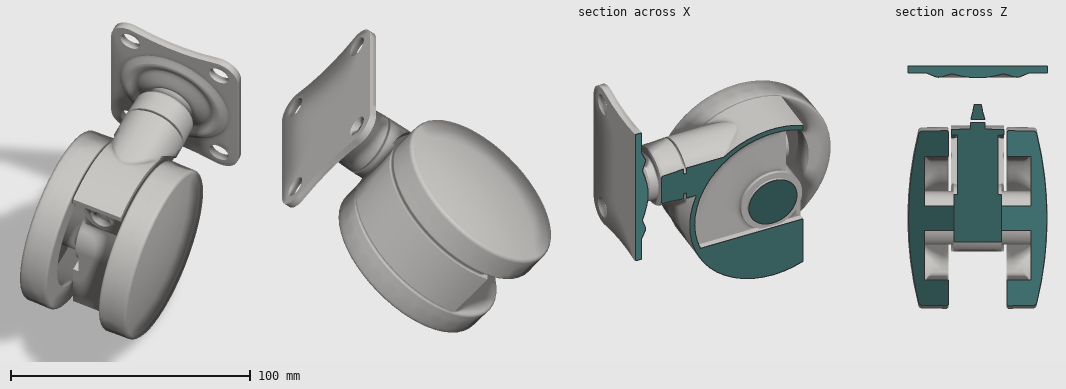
import cadquery as cq
import math


quarter_arc_middle = math.sqrt(0.5)

overall_length = 101.5
overall_width = 58.5
stem_z = 23.0
side_clearance = 1.0

wheel_radius = 38.0
tread_outer_radius = 37.8
wheel_inner_x = 12.0
tread_outer_x = 23.0
inner_edge_round = 1.2
dome_rim_radius = 36.1
dome_rim_x = 24.8
hub_radius = 11.2
recess_radius = 27.4
recess_depth = 10.1

fender_radius = 38.5
fender_inner_radius = 35.9
fender_half_width = wheel_inner_x - side_clearance
front_cut = 14.0
barrel_radius = front_cut
barrel_half_width = 10.0
web_half_width = 8.5
seat_y = -7.3
shelf_z = -13.3
wheel_clearance_radius = 40.0

sleeve_radius = 13.6
sleeve_top_radius = 13.2
sleeve_top_y = 51.6
sleeve_edge_height = 0.9
sleeve_edge_inset = 0.4
groove_radius = 12.2
groove_y = 40.0
groove_width = 1.1

plate_height = 70.0
plate_thickness = 3.1
plate_back_y = overall_length - wheel_radius
plate_front_y = plate_back_y - plate_thickness
corner_radius = 8.5
edge_sag = 2.4
hole_diameter = 9.0
hole_spacing_x = 41.0
hole_spacing_z = 54.0

ring_height = 1.6
ring_crest = 0.15
ring_base_radius = 25.1
ring_top_radius = 21.9
ring_inner_radius = 20.1
valley_outer_radius = 17.5
valley_height = 0.5
cone_base_radius = 16.6
cone_height = 3.6
cone_top_radius = 9.7

neck_radius = 10.1
neck_end_radius = 9.2
neck_chamfer = 0.8
shank_radius = 5.6
head_radius = web_half_width
head_thickness = 1.3
lip_round = 1.3
socket_radius = 2.9
socket_wall_depth = 1.0
socket_depth = 3.0
socket_floor_radius = 0.7


def cylinder_x(radius, half_width):
    """Cylinder on the axle, centred on X = 0."""
    return cq.Workplane("YZ").circle(radius).extrude(half_width, both=True)


def block(x_limits, y_limits, z_limits):
    """Box between the given limits along X, Y and Z."""
    limits = (x_limits, y_limits, z_limits)
    size = [high - low for low, high in limits]
    corner = cq.Vector(*[low for low, high in limits])
    return cq.Workplane(cq.Solid.makeBox(*size, corner))


def turn_on_stem(profile):
    """Turn a closed profile of (radius, y) about the stem axis."""
    return profile.close().revolve(360, (0, 0, 0), (0, 1, 0)).translate((0, 0, stem_z))


def make_wheel(side):
    """Domed wheel with a recessed inner face and a hub; side is +1 or -1 along X."""
    apex_x = overall_width / 2
    middle_r = dome_rim_radius / 2
    dome_height = apex_x - dome_rim_x
    dome_radius = (dome_rim_radius**2 + dome_height**2) / (2 * dome_height)
    middle_x = apex_x - dome_radius + math.sqrt(dome_radius**2 - middle_r**2)
    recess_x = wheel_inner_x + recess_depth
    edge_x = wheel_inner_x + inner_edge_round
    edge_r = wheel_radius - inner_edge_round
    edge_bulge = inner_edge_round * quarter_arc_middle
    round_middle = (
        tread_outer_x + (dome_rim_x - tread_outer_x) * quarter_arc_middle,
        dome_rim_radius + (tread_outer_radius - dome_rim_radius) * quarter_arc_middle,
    )
    wheel = (
        cq.Workplane("XY")
        .moveTo(barrel_half_width, 0)
        .lineTo(barrel_half_width, hub_radius)
        .lineTo(recess_x, hub_radius)
        .lineTo(recess_x, recess_radius)
        .lineTo(wheel_inner_x, recess_radius)
        .lineTo(wheel_inner_x, edge_r)
        .threePointArc((edge_x - edge_bulge, edge_r + edge_bulge), (edge_x, wheel_radius))
        .lineTo(tread_outer_x, tread_outer_radius)
        .threePointArc(round_middle, (dome_rim_x, dome_rim_radius))
        .threePointArc((middle_x, middle_r), (apex_x, 0))
        .close()
        .revolve(360, (0, 0, 0), (1, 0, 0))
    )
    return wheel if side > 0 else wheel.mirror("YZ")


def make_fender():
    """Wide rim with a flat front, a narrower web inside it and the axle barrel."""
    reach = 2 * fender_radius
    full_x = (-fender_half_width, fender_half_width)
    pocket_zone = block(full_x, (-reach, reach), (shelf_z, reach))
    pocket = cylinder_x(fender_inner_radius, fender_half_width).intersect(pocket_zone)
    rim = cylinder_x(fender_radius, fender_half_width).cut(pocket)
    seat_opening = block(full_x, (-reach, seat_y), (0, reach))
    web = cylinder_x(fender_inner_radius, web_half_width).cut(seat_opening)
    fender = rim.union(web).cut(block(full_x, (-reach, -front_cut), (-reach, reach)))
    return fender.union(cylinder_x(barrel_radius, barrel_half_width))


def make_sleeve():
    """Grooved sleeve round the stem, trimmed to the fender and clear of the wheels."""
    groove_top_y = groove_y + groove_width
    sleeve = turn_on_stem(cq.Workplane("XY").polyline([
        (0, 0),
        (sleeve_radius, 0),
        (sleeve_radius, groove_y),
        (groove_radius, groove_y),
        (groove_radius, groove_top_y),
        (sleeve_radius, groove_top_y),
        (sleeve_top_radius, sleeve_top_y - sleeve_edge_height),
        (sleeve_top_radius - sleeve_edge_inset, sleeve_top_y),
        (0, sleeve_top_y),
    ]))
    sleeve = sleeve.cut(cylinder_x(fender_inner_radius, fender_half_width))
    wheel_space = cylinder_x(wheel_clearance_radius, overall_width)
    return sleeve.cut(wheel_space.cut(cylinder_x(wheel_clearance_radius, fender_half_width)))


def make_housing():
    """Fender and sleeve in one piece, bored for the stem shank."""
    bore = turn_on_stem(cq.Workplane("XY").polyline([
        (0, seat_y),
        (shank_radius, seat_y),
        (shank_radius, sleeve_top_y),
        (0, sleeve_top_y),
    ]))
    return make_fender().union(make_sleeve()).cut(bore)


def make_plate():
    """Four-hole plate with rounded corners and hollow top and bottom edges."""
    half_width = overall_width / 2
    half_height = plate_height / 2
    corner_x = half_width - corner_radius
    corner_z = half_height - corner_radius
    hollow_rise = (corner_x**2 - edge_sag**2) / (2 * edge_sag)
    tangent_angle = math.atan2(hollow_rise, -corner_x)

    def corner_point(angle):
        return (corner_x + corner_radius * math.cos(angle),
                corner_z + corner_radius * math.sin(angle))

    corner_middle = corner_point(tangent_angle / 2)
    hollow_end = corner_point(tangent_angle)
    plate = (
        cq.Workplane("XZ", origin=(0, plate_back_y, stem_z))
        .moveTo(half_width, 0)
        .lineTo(half_width, corner_z)
        .threePointArc(corner_middle, hollow_end)
        .threePointArc((0, half_height - edge_sag), (-hollow_end[0], hollow_end[1]))
        .threePointArc((-corner_middle[0], corner_middle[1]), (-half_width, corner_z))
        .lineTo(-half_width, 0)
        .mirrorX()
        .extrude(plate_thickness)
    )
    return (
        plate.faces("<Y").workplane(origin=(0, plate_front_y, stem_z))
        .rarray(hole_spacing_x, hole_spacing_z, 2, 2)
        .hole(hole_diameter)
    )


def make_stem():
    """Raised ring, cone, neck, shank and socketed head, turned about the stem axis."""
    ring_y = plate_front_y - ring_height
    ring_middle_radius = (ring_top_radius + ring_inner_radius) / 2
    valley_y = plate_front_y - valley_height
    neck_y = plate_front_y - cone_height
    head_y = seat_y - head_thickness
    lip_edge_radius = shank_radius - lip_round
    lip_bulge = lip_round * quarter_arc_middle
    profile = (
        cq.Workplane("XY")
        .moveTo(0, plate_front_y)
        .lineTo(ring_base_radius, plate_front_y)
        .lineTo(ring_top_radius, ring_y)
        .threePointArc((ring_middle_radius, ring_y - ring_crest), (ring_inner_radius, ring_y))
        .lineTo(valley_outer_radius, valley_y)
        .lineTo(cone_base_radius, valley_y)
        .lineTo(cone_top_radius, neck_y)
        .lineTo(neck_end_radius, neck_y)
        .lineTo(neck_radius, neck_y - neck_chamfer)
        .lineTo(neck_radius, sleeve_top_y + neck_chamfer)
        .lineTo(neck_end_radius, sleeve_top_y)
        .lineTo(shank_radius, sleeve_top_y)
        .lineTo(shank_radius, seat_y)
        .lineTo(head_radius, seat_y)
        .lineTo(head_radius, head_y)
        .lineTo(shank_radius, head_y)
        .threePointArc((lip_edge_radius + lip_bulge, head_y - lip_bulge),
                       (lip_edge_radius, head_y - lip_round))
        .lineTo(socket_radius, head_y)
        .lineTo(socket_radius, head_y + socket_wall_depth)
        .lineTo(socket_floor_radius, head_y + socket_depth)
        .lineTo(0, head_y + socket_depth)
    )
    return turn_on_stem(profile)


mounting_plate = make_plate().union(make_stem())
housing = make_housing()
wheels = [make_wheel(side) for side in (-1, 1)]

result = cq.Compound.makeCompound([
    mounting_plate.val(),
    housing.val(),
    *[wheel.val() for wheel in wheels],
])